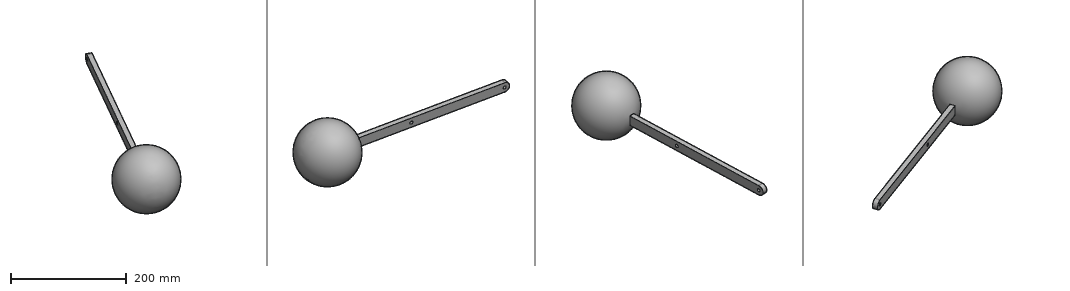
import cadquery as cq

total_length = 428.0
ball_diameter = 120.0
arm_height = 20.0
arm_thickness = 10.0
hole_diameter = 6.0
hole_spacing = 190.0

ball_radius = ball_diameter / 2
end_radius = arm_height / 2
ball_center_x = total_length - end_radius - ball_radius


def make_arm():
    """Flat bar with a round free end, running into the center of the ball."""
    bar = (
        cq.Workplane("XZ")
        .moveTo(0, end_radius)
        .lineTo(ball_center_x, end_radius)
        .lineTo(ball_center_x, -end_radius)
        .lineTo(0, -end_radius)
        .threePointArc((-end_radius, 0), (0, end_radius))
        .close()
        .extrude(arm_thickness / 2, both=True)
    )
    holes = (
        cq.Workplane("XZ")
        .pushPoints([(0, 0), (hole_spacing, 0)])
        .circle(hole_diameter / 2)
        .extrude(arm_thickness, both=True)
    )
    return bar.cut(holes)


def make_ball():
    """Solid ball centered on the arm axis."""
    return cq.Workplane("XY").sphere(ball_radius).translate((ball_center_x, 0, 0))


result = make_arm().union(make_ball())